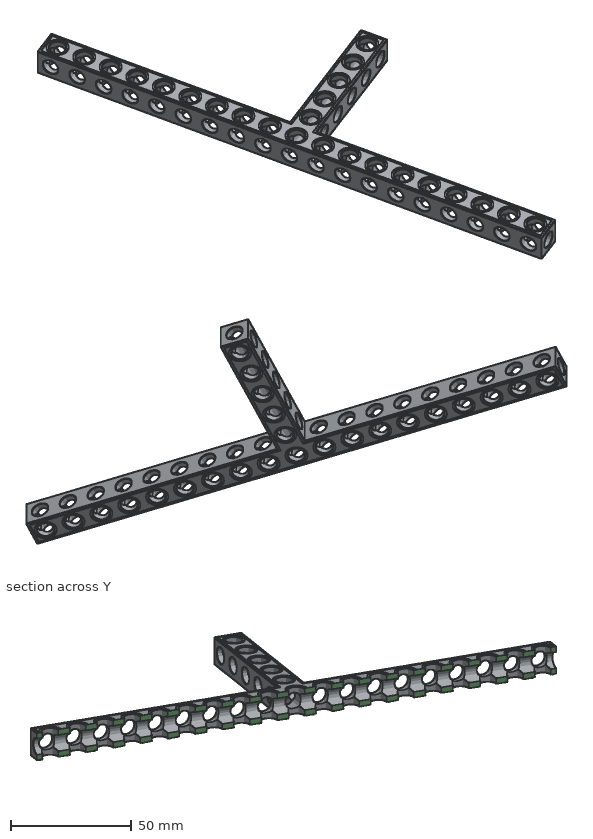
import cadquery as cq

bar_length = 237.5
bar_hole_count = 19
arm_hole_count = 5
web_between_holes = 5.5
ring_diameter = 9.3
relief_depth = 0.12
rim_width = 1.2
edge_chamfer = 0.2

pitch = bar_length / bar_hole_count
half_pitch = pitch / 2
hole_radius = (pitch - web_between_holes) / 2
arm_end = arm_hole_count * pitch + half_pitch
rim_height = pitch - 2 * relief_depth
rim_level = rim_height / 2

bar_places = [(i - bar_hole_count // 2) * pitch for i in range(bar_hole_count)]
arm_places = [(i + 1) * pitch for i in range(arm_hole_count)]
vertical_places = [(x, 0) for x in bar_places] + [(0, y) for y in arm_places]


def tee_blocks(height, inset=0):
    """Bar and arm blocks centred on Z = 0, with their common outline moved inward by the inset."""
    width = pitch - 2 * inset
    arm_length = arm_end - inset
    bar = cq.Workplane().box(bar_length - 2 * inset, width, height)
    arm = cq.Workplane().box(width, arm_length, height).translate((0, arm_length / 2, 0))
    return bar, arm


def drill(start, direction, length):
    """Through-hole cutter from a start point, with a chamfer cone at both mouths."""
    start = cq.Vector(*start)
    direction = cq.Vector(*direction)
    end = start + direction * length
    mouth_radius = hole_radius + edge_chamfer
    cutter = cq.Solid.makeCylinder(hole_radius, length, start, direction)
    for mouth, inward in ((start, direction), (end, direction * -1)):
        cutter = cutter.fuse(cq.Solid.makeCone(mouth_radius, hole_radius, edge_chamfer, mouth, inward))
    return cutter


def beam_body():
    """Tee of two chamfered blocks, with top and bottom faces that stand slightly above its rim."""
    bar, arm = [block.edges().chamfer(edge_chamfer) for block in tee_blocks(rim_height)]
    raised_bar, raised_arm = tee_blocks(pitch, rim_width)
    return bar.union(arm).union(raised_bar).union(raised_arm)


def ring_reliefs():
    """Shallow discs that sink a ring around each vertical hole, top and bottom."""
    discs = cq.Workplane().pushPoints(vertical_places).circle(ring_diameter / 2)
    top = discs.extrude(relief_depth).translate((0, 0, rim_level))
    return top.union(top.mirror("XY"))


def vertical_drills():
    """One hole from top to bottom in each cell of the bar and the arm."""
    return [drill((x, y, -rim_level), (0, 0, 1), rim_height) for x, y in vertical_places]


def drills_along_x():
    """One hole through the whole bar, and one across the arm in each of its cells."""
    bar_drill = drill((-bar_length / 2, 0, 0), (1, 0, 0), bar_length)
    return [bar_drill] + [drill((-half_pitch, y, 0), (1, 0, 0), pitch) for y in arm_places]


def drills_along_y():
    """One hole across the bar in each cell; the middle one runs on through the arm."""
    cutters = []
    for x in bar_places:
        exit_y = arm_end if x == 0 else half_pitch
        cutters.append(drill((x, -half_pitch, 0), (0, 1, 0), exit_y + half_pitch))
    return cutters


blank = beam_body().cut(ring_reliefs()).val()
drilled = blank.cut(*vertical_drills()).cut(*drills_along_x()).cut(*drills_along_y())
result = cq.Workplane(drilled.Solids()[0])